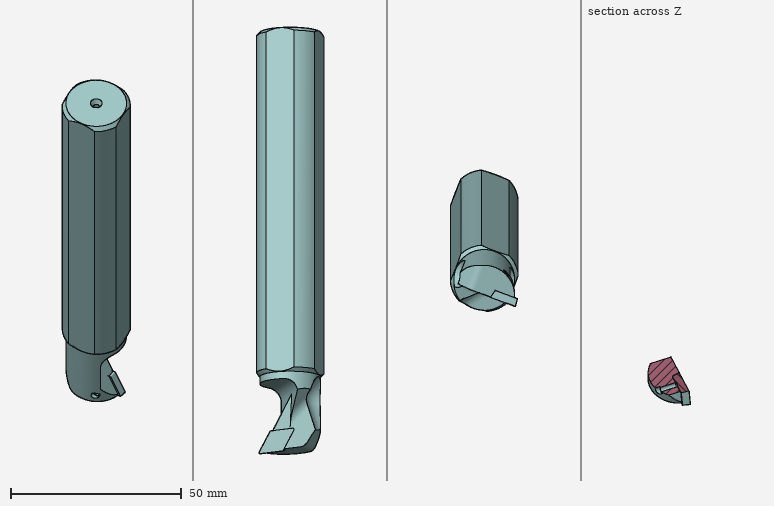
import cadquery as cq
import math

OVERALL_LENGTH = 125.0
SHANK_DIAMETER = 20.0
ACROSS_FLATS = 18.0
SHANK_BOTTOM = 22.35
SHANK_BEVEL = 1.1

CENTRE_RIM_DIAMETER = 3.4
CENTRE_PILOT_DIAMETER = 1.7
CENTRE_CONE_ANGLE = 60.0
CENTRE_PILOT_DEPTH = 3.5
CENTRE_DRILL_ANGLE = 118.0

TIP_X = 9.75
TIP_Y = -0.2
TIP_RADIUS = 0.4
INSERT_ANGLE = 55.0
INSERT_INSCRIBED_DIAMETER = 6.35
INSERT_THICKNESS = 2.38
INSERT_CLEARANCE = 7.0
INSERT_LEAD = 3.0
RAKE_ANGLE = 8.0
SCREW_HOLE_DIAMETER = 1.6
SCREW_COUNTERBORE_DIAMETER = 2.2
SCREW_COUNTERBORE_Y = -7.0
SCREW_X = 3.95
SCREW_Z = 3.6

NECK_RADIUS = 8.9
BACK_BEVEL_ANGLE = 53.0
BACK_BEVEL_TOP = 7.2
HEAD_CORNER_Z = 1.35
HEAD_CORNER_RADIUS = 3.0

RELIEF_DIRECTION = 35.0
RELIEF_WALL_OFFSET = 0.25
RELIEF_RADIUS = 4.0
RELIEF_TOP = 20.2
FLANK_X = 5.35
FLANK_Z = 6.3

RAMP_HEIGHT = 8.6
RAMP_DIRECTION = 142.6
RAMP_BLEND_RADIUS = 3.0

SCOOP_RADIUS = 5.0
SCOOP_X = -10.05
SCOOP_Z = 15.9
SCOOP_LOWER_TILT = 18.0
SCOOP_UPPER_TILT = 45.0

REACH = 30.0

flank_angle = math.radians(180 - INSERT_LEAD - INSERT_ANGLE)


def make_shank():
    length = OVERALL_LENGTH - SHANK_BOTTOM
    bar = cq.Workplane("XY").workplane(offset=SHANK_BOTTOM).circle(SHANK_DIAMETER / 2).extrude(length)
    bar = bar.faces("<Z or >Z").chamfer(SHANK_BEVEL)
    flats = cq.Workplane("XY").box(ACROSS_FLATS, ACROSS_FLATS, OVERALL_LENGTH, centered=(True, True, False))
    return bar.intersect(flats)


def make_centre_hole():
    rim = CENTRE_RIM_DIAMETER / 2
    pilot = CENTRE_PILOT_DIAMETER / 2
    cone_bottom = OVERALL_LENGTH - (rim - pilot) / math.tan(math.radians(CENTRE_CONE_ANGLE / 2))
    pilot_bottom = OVERALL_LENGTH - CENTRE_PILOT_DEPTH
    pilot_point = pilot_bottom - pilot / math.tan(math.radians(CENTRE_DRILL_ANGLE / 2))
    outline = [(0, OVERALL_LENGTH), (rim, OVERALL_LENGTH), (pilot, cone_bottom),
               (pilot, pilot_bottom), (0, pilot_point)]
    return cq.Workplane("XZ").polyline(outline).close().revolve(360, (0, 0), (0, 1))


def make_head_blank():
    """Round neck with the bevelled back, the rounded corner and the sloping end face."""
    neck = cq.Workplane("XY").circle(NECK_RADIUS).extrude(SHANK_BOTTOM)
    corner_x = -NECK_RADIUS + (BACK_BEVEL_TOP - HEAD_CORNER_Z) / math.tan(math.radians(BACK_BEVEL_ANGLE))
    end_z = HEAD_CORNER_Z - (TIP_X - corner_x) * math.tan(math.radians(INSERT_LEAD))
    outline = [(-NECK_RADIUS, SHANK_BOTTOM), (-NECK_RADIUS, BACK_BEVEL_TOP), (corner_x, HEAD_CORNER_Z),
               (TIP_X, end_z), (TIP_X, SHANK_BOTTOM)]
    trim = cq.Workplane("XZ").polyline(outline).close().extrude(REACH, both=True)
    corner = cq.selectors.NearestToPointSelector((corner_x, 0, HEAD_CORNER_Z))
    return neck.intersect(trim.edges(corner).fillet(HEAD_CORNER_RADIUS))


def make_insert_support():
    """Material that stays under the insert: behind the rake plane and below the flank plane."""
    low_x = FLANK_X - FLANK_Z / math.tan(flank_angle)
    high_x = FLANK_X + (REACH - FLANK_Z) / math.tan(flank_angle)
    below_flank = (cq.Workplane("XZ").polyline([(low_x, 0), (high_x, REACH), (-REACH, REACH), (-REACH, 0)])
                   .close().extrude(REACH, both=True))
    high_y = TIP_Y + REACH * math.tan(math.radians(RAKE_ANGLE))
    behind_rake = (cq.Workplane("YZ").polyline([(TIP_Y, 0), (high_y, REACH), (-REACH, REACH), (-REACH, 0)])
                   .close().extrude(REACH, both=True))
    return below_flank.intersect(behind_rake)


def make_relief():
    """Diagonal cut beside the wall that leaves the insert support standing."""
    arc_start = RELIEF_TOP - RELIEF_RADIUS
    arc_end = RELIEF_WALL_OFFSET + RELIEF_RADIUS
    cut = (cq.Workplane("XZ").moveTo(RELIEF_WALL_OFFSET, 0).lineTo(RELIEF_WALL_OFFSET, arc_start)
           .tangentArcPoint((arc_end, RELIEF_TOP), relative=False)
           .lineTo(REACH, RELIEF_TOP).lineTo(REACH, 0).close().extrude(REACH, both=True)
           .rotate((0, 0, 0), (0, 0, 1), RELIEF_DIRECTION))
    return cut.cut(make_insert_support())


def make_chip_face():
    """Space in front of the rake plane and under the ramp, rounded where the two planes meet."""
    rake = math.radians(RAKE_ANGLE)
    rise = math.radians(RAMP_DIRECTION)
    rake_normal = cq.Vector(0, math.cos(rake), -math.sin(rake))
    ramp_normal = cq.Vector(math.cos(rise), math.sin(rise), -1).normalized()
    corner_line = ramp_normal.cross(rake_normal).normalized()
    along_rake = rake_normal.cross(corner_line)

    corner_z = (RAMP_HEIGHT + TIP_Y * math.sin(rise)) / (1 - math.sin(rise) * math.tan(rake))
    corner = cq.Vector(0, TIP_Y + corner_z * math.tan(rake), corner_z)
    opening = math.pi - rake_normal.getAngle(ramp_normal)
    ramp_end = (2 * REACH * math.cos(opening), 2 * REACH * math.sin(opening))
    space = (cq.Workplane(cq.Plane(corner, along_rake, corner_line))
             .polyline([(0, 0), (2 * REACH, 0), ramp_end]).close().extrude(REACH, both=True))
    return space.edges(cq.selectors.NearestToPointSelector(corner.toTuple())).fillet(RAMP_BLEND_RADIUS)


def make_scoop():
    centre = cq.Vector(SCOOP_X, 0, SCOOP_Z)
    lower = math.radians(SCOOP_LOWER_TILT)
    upper = math.radians(SCOOP_UPPER_TILT)
    scoop = cq.Workplane("XY").sphere(SCOOP_RADIUS).translate(centre)
    for direction in (cq.Vector(-math.sin(lower), 0, -math.cos(lower)),
                      cq.Vector(-math.sin(upper), 0, math.cos(upper))):
        scoop = scoop.union(cq.Workplane(cq.Solid.makeCylinder(SCOOP_RADIUS, REACH, centre, direction)))
    return scoop


def make_insert():
    rake = math.radians(RAKE_ANGLE)
    half_angle = math.radians(INSERT_ANGLE / 2)
    inscribed = INSERT_INSCRIBED_DIAMETER / 2
    bisector = flank_angle + half_angle
    tip_to_middle = (inscribed - TIP_RADIUS) / math.sin(half_angle)
    middle_x = TIP_X - TIP_RADIUS + tip_to_middle * math.cos(bisector)
    middle_z = TIP_RADIUS + tip_to_middle * math.sin(bisector)
    half_long = inscribed / math.sin(half_angle)
    half_short = inscribed / math.cos(half_angle)
    outline = [(half_long, 0), (0, half_short), (-half_long, 0), (0, -half_short)]

    rake_plane = cq.Plane((0, TIP_Y, 0), (1, 0, 0), (0, -math.cos(rake), math.sin(rake)))
    insert_plane = cq.Plane(rake_plane.toWorldCoords((middle_x, middle_z, 0)),
                            rake_plane.xDir, rake_plane.zDir)
    insert_plane = insert_plane.rotated((0, 0, math.degrees(bisector)))
    sketch = cq.Sketch().polygon(outline + outline[:1]).vertices().fillet(TIP_RADIUS)
    return cq.Workplane(insert_plane).placeSketch(sketch).extrude(INSERT_THICKNESS, taper=INSERT_CLEARANCE)


def make_screw_hole():
    """Hole from the insert seat to the front of the neck, with a counterbore outside."""
    hole = cq.Workplane("XZ").center(SCREW_X, SCREW_Z).circle(SCREW_HOLE_DIAMETER / 2).extrude(REACH)
    counterbore = (cq.Workplane("XZ", origin=(SCREW_X, SCREW_COUNTERBORE_Y, SCREW_Z))
                   .circle(SCREW_COUNTERBORE_DIAMETER / 2).extrude(REACH))
    return hole.union(counterbore)


insert = make_insert()

head = make_head_blank().cut(make_relief()).cut(make_chip_face()).cut(make_scoop())
bar = make_shank().cut(make_centre_hole()).union(head)
bar = bar.cut(make_screw_hole()).cut(insert)

result = cq.Compound.makeCompound([bar.val(), insert.val()])